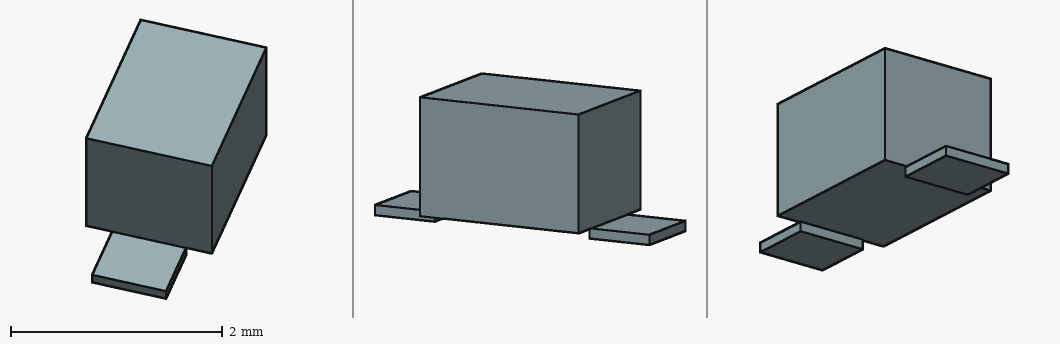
import cadquery as cq

overall_length = 2.94
overall_height = 1.25

lead_width = 0.735
lead_length = 0.64
lead_thickness = 0.1

housing_width = 1.25
housing_length = 1.7
housing_height = overall_height - lead_thickness


def make_housing():
    """Block whose underside is level with the top of the leads."""
    return (
        cq.Workplane("XY")
        .workplane(offset=lead_thickness)
        .rect(housing_width, housing_length)
        .extrude(housing_height)
    )


def make_lead(end):
    """Flat lead at the -Y end (end = -1) or the +Y end (end = 1)."""
    center_y = end * (overall_length - lead_length) / 2
    return (
        cq.Workplane("XY")
        .center(0, center_y)
        .rect(lead_width, lead_length)
        .extrude(lead_thickness)
    )


housing = make_housing()
leads = [make_lead(end) for end in (-1, 1)]

result = cq.Compound.makeCompound([housing.val(), *[lead.val() for lead in leads]])